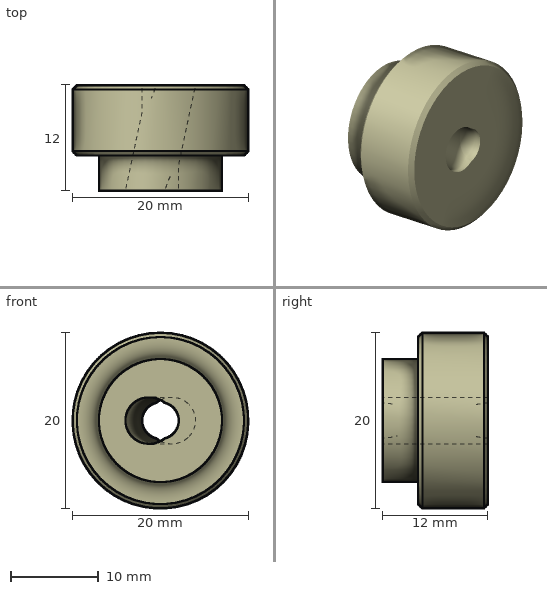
import cadquery as cq
import math

flange_diameter = 20.0
flange_length = 8.0
flange_chamfer = 0.5
hub_diameter = 14.0
hub_length = 4.0
total_length = flange_length + hub_length

bore_diameter = 4.15
tilted_bore_diameter = 5.3
tilt_degrees = 12.0
cutter_length = 2 * total_length


def cylinder_along(direction, center, diameter, length):
    """Cylinder centred on a point with its axis along a unit direction."""
    start = center - direction * (length / 2)
    return cq.Workplane(cq.Solid.makeCylinder(diameter / 2, length, start, direction))


def make_body():
    flange_center = cq.Vector(0, hub_length + flange_length / 2, 0)
    hub_center = cq.Vector(0, hub_length / 2, 0)
    axis = cq.Vector(0, 1, 0)
    flange = cylinder_along(axis, flange_center, flange_diameter, flange_length)
    flange = flange.edges("%CIRCLE").chamfer(flange_chamfer)
    return flange.union(cylinder_along(axis, hub_center, hub_diameter, hub_length))


def make_bores():
    crossing = cq.Vector(0, total_length / 2, 0)
    tilt = math.radians(tilt_degrees)
    tilted_axis = cq.Vector(math.sin(tilt), math.cos(tilt), 0)
    straight = cylinder_along(cq.Vector(0, 1, 0), crossing, bore_diameter, cutter_length)
    tilted = cylinder_along(tilted_axis, crossing, tilted_bore_diameter, cutter_length)
    return straight, tilted


result = make_body()
for bore in make_bores():
    result = result.cut(bore)